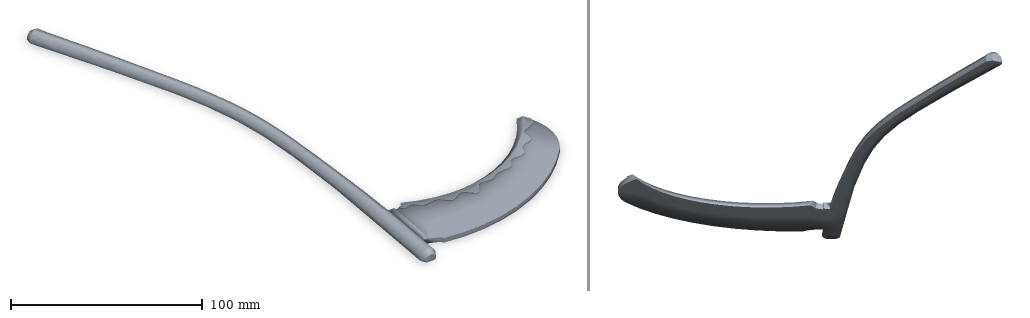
import cadquery as cq
import math

axis_z = 1.3
end_radius = 4.8
middle_radius = 4.0
neck_radius = 4.2
shoulder_radius = 4.5
end_chamfer = 1.9
end_chamfer_length = 3.0
shaft_start = (5.0, 4.5)
bend_stations = [
    (22.8, 19.6, shoulder_radius),
    (40.5, 34.8, neck_radius),
    (79.4, 66.0, middle_radius),
    (108.5, 85.2, middle_radius),
    (148.5, 102.7, middle_radius),
    (185.8, 115.5, neck_radius),
    (202.0, 120.5, shoulder_radius),
]
head_start = (219.5, 125.5)
shaft_angle = 15.6
head_length = 44.9
root_length = 33.2

blade_thickness = 3.0
band_thickness = 3.5
edge_wall = 1.0
bevel_width = 3.0
tip = (153.5, 220.5)
heel = (210.8, 139.0)
edge_middle = (194.8, 195.5)
nose_middle = (168.5, 232.8)
nose_end = (188.2, 233.3)
spine_middle = (230.7, 200.1)
shoulder = (251.0, 150.2)
shoulder_notch = (249.8, 147.8)
root_offset = 8.2
root_inset = 1.0
heel_notch = (216.3, 137.2)

wave_points = [
    (160.0, 227.0), (163.2, 226.5), (170.5, 219.5), (176.5, 221.0), (183.0, 214.5), (188.2, 214.0),
    (193.5, 204.6), (197.0, 204.0), (202.8, 194.0), (206.8, 190.3), (209.0, 183.0), (216.5, 179.5),
    (214.0, 171.5), (219.2, 164.8), (216.3, 157.7), (219.0, 149.0), (217.0, 142.5), (219.0, 139.0),
    (217.0, 136.2),
]

along = (math.cos(math.radians(shaft_angle)), math.sin(math.radians(shaft_angle)))


def head_point(distance):
    """Point on the straight head of the shaft, measured from its start."""
    return (head_start[0] + distance * along[0], head_start[1] + distance * along[1])


def beside_head(distance, offset):
    """Point at a sideways offset from the straight head, on the blade's side."""
    x, y = head_point(distance)
    return (x - offset * along[1], y + offset * along[0])


def cross_section(x, y, radius, direction):
    """Circular wire centred on the shaft axis and square to it."""
    return cq.Wire.makeCircle(radius, cq.Vector(x, y, axis_z), cq.Vector(*direction, 0))


def end_cone(point, outward):
    """Short cone that chamfers one end of the shaft."""
    return cq.Solid.makeCone(
        end_radius, end_radius - end_chamfer, end_chamfer_length, cq.Vector(*point, axis_z), outward
    )


def make_shaft():
    """Curved tapering handle and straight head, with both ends chamfered."""
    stations = [(*shaft_start, end_radius), *bend_stations, (*head_start, end_radius)]
    sections = []
    for index, (x, y, radius) in enumerate(stations):
        before = stations[max(index - 1, 0)]
        after = stations[min(index + 1, len(stations) - 1)]
        direction = (after[0] - before[0], after[1] - before[1])
        if index == len(stations) - 1:
            direction = along
        sections.append(cross_section(x, y, radius, direction))
    handle = cq.Workplane(obj=cq.Solid.makeLoft(sections))

    first_bend = bend_stations[0]
    start_direction = cq.Vector(first_bend[0] - shaft_start[0], first_bend[1] - shaft_start[1], 0)
    butt = end_cone(shaft_start, start_direction * -1)
    head_axis = cq.Vector(*along, 0)
    head = cq.Solid.makeCylinder(
        end_radius, head_length, cq.Vector(*head_start, axis_z), head_axis
    )
    head_end = end_cone(head_point(head_length), head_axis)
    for piece in (butt, head, head_end):
        handle = handle.union(cq.Workplane(obj=piece))
    return handle


def make_root_strip():
    """Flat strip, as thick as the band, that joins the blade to the head of the shaft."""
    return (
        cq.Workplane("XY")
        .polyline([
            head_start, beside_head(0, root_offset),
            beside_head(root_length, root_offset), head_point(root_length),
        ])
        .close()
        .extrude(band_thickness)
    )


def make_blade_plate(thickness):
    return (
        cq.Workplane("XY")
        .moveTo(*heel)
        .threePointArc(edge_middle, tip)
        .threePointArc(nose_middle, nose_end)
        .threePointArc(spine_middle, shoulder)
        .lineTo(*shoulder_notch)
        .lineTo(*beside_head(root_length, root_offset))
        .lineTo(*beside_head(root_inset, root_offset))
        .lineTo(*heel_notch)
        .close()
        .extrude(thickness)
    )


def make_edge_band():
    """Raised strip between the cutting edge and the wavy border."""
    inner_corner = (tip[0], heel[1])
    strip = (
        cq.Workplane("XY")
        .moveTo(*wave_points[0])
        .spline(wave_points[1:], includeCurrent=True)
        .lineTo(*inner_corner)
        .lineTo(inner_corner[0], wave_points[0][1])
        .close()
        .extrude(band_thickness)
    )
    return make_blade_plate(band_thickness).intersect(strip)


def arc_centre(a, b, c):
    """Centre of the circle through three points."""
    bx, by = b[0] - a[0], b[1] - a[1]
    cx, cy = c[0] - a[0], c[1] - a[1]
    twice_area = 2 * (bx * cy - by * cx)
    b_square = bx * bx + by * by
    c_square = cx * cx + cy * cy
    return (
        a[0] + (cy * b_square - by * c_square) / twice_area,
        a[1] + (bx * c_square - cx * b_square) / twice_area,
    )


def make_edge_bevel():
    """Conical cutter that slopes the blade down to its cutting edge."""
    centre = arc_centre(heel, edge_middle, tip)
    radius = math.dist(centre, heel)
    cutter = cq.Solid.makeCone(
        radius, radius + bevel_width, band_thickness - edge_wall, cq.Vector(*centre, edge_wall)
    )
    reach = 2 * radius
    limit = cq.Workplane("XY").box(2 * reach, reach, reach, centered=(True, False, True))
    return cq.Workplane(obj=cutter).intersect(limit.translate((centre[0], heel_notch[1], 0)))


blade = make_blade_plate(blade_thickness).union(make_edge_band()).cut(make_edge_bevel())
shaft = make_shaft()
clearance = 796.3
underside = cq.Workplane("XY").rect(clearance, clearance).extrude(-clearance)
result = shaft.union(make_root_strip()).cut(underside).union(blade)